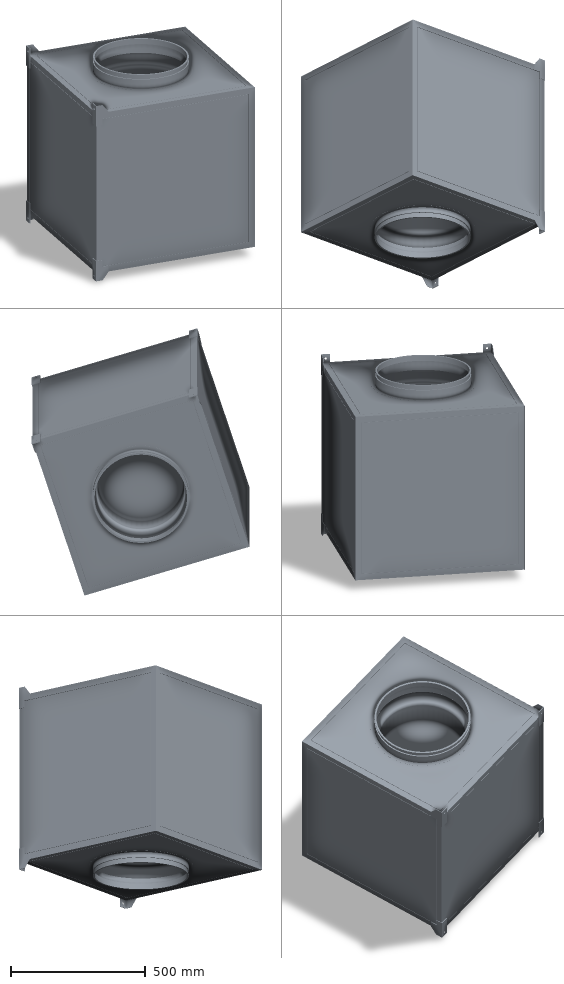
import cadquery as cq
import math

cabinet_side = 640.0
half_side = cabinet_side / 2
frame_width = 23.5
opening_side = cabinet_side - 2 * frame_width
panel_gap = 1.5
panel_side = opening_side - 2 * panel_gap
groove_depth = 2.0
side_sheet_thickness = 2.0
side_sheet_lip = 0.4
core_width = cabinet_side - 2 * side_sheet_thickness
core_side = cabinet_side - 2 * side_sheet_lip

overall_height = 735.0
overall_width = 643.0
overall_depth = 643.0
top_spigot_height = 55.0
bottom_spigot_height = overall_height - cabinet_side - top_spigot_height

rim_radius = 178.0
rim_thickness = 3.0
neck_radius = 173.5
neck_height = 19.0
wall = 2.0
neck_bore_radius = neck_radius - wall
collar_bore_radius = rim_radius - wall
flange_thickness = 3.0

well_radius = 192.5
well_depth = 51.5
throat_radius = 161.0
throat_depth = 153.0
well_fillet = 10.0

bracket_plate_width = 32.0
bracket_height = 81.0
bracket_overhang = 31.0
bracket_leg_depth = 51.5
bracket_leg_top_depth = 27.0
bracket_side_thickness = (overall_width - cabinet_side) / 2
bracket_front_thickness = overall_depth - cabinet_side
bracket_hole_diameter = 9.0
bracket_hole_inset = 17.0


def cabinet_body():
    """Core block between two X side sheets whose edges stand slightly proud of it."""
    core = cq.Workplane("XY").box(core_width, core_side, core_side)
    for side in (-1, 1):
        sheet = cq.Workplane("XY").box(side_sheet_thickness, cabinet_side, cabinet_side)
        sheet_x = side * (cabinet_side - side_sheet_thickness) / 2
        core = core.union(sheet.translate((sheet_x, 0, 0)))
    return core


def panel_groove(plane):
    """Narrow square groove that separates a panel from its frame."""
    return (
        cq.Workplane(plane)
        .workplane(offset=half_side - groove_depth)
        .rect(opening_side, opening_side)
        .rect(panel_side, panel_side)
        .extrude(groove_depth)
    )


def well_cut():
    """Stepped round well going down from the top face, with rounded steps."""
    step_z = half_side - well_depth
    floor_z = half_side - throat_depth
    mouth_radius = throat_radius + well_fillet
    arc_end = well_fillet * (1 - math.sqrt(0.5))
    return (
        cq.Workplane("XZ")
        .moveTo(0, half_side)
        .lineTo(well_radius, half_side)
        .lineTo(well_radius, step_z + well_fillet)
        .threePointArc(
            (well_radius - arc_end, step_z + arc_end),
            (well_radius - well_fillet, step_z),
        )
        .lineTo(mouth_radius, step_z)
        .threePointArc(
            (throat_radius + arc_end, step_z - arc_end),
            (throat_radius, step_z - well_fillet),
        )
        .lineTo(throat_radius, floor_z + well_fillet)
        .threePointArc(
            (throat_radius - arc_end, floor_z + arc_end),
            (throat_radius - well_fillet, floor_z),
        )
        .lineTo(0, floor_z)
        .close()
        .revolve(360, (0, 0, 0), (0, 1, 0))
    )


def spigot(height):
    """Beaded tube on a flange that closes the rim of the top well."""
    flange_bottom = half_side - flange_thickness
    rim_top = half_side + height
    collar_top = rim_top - neck_height
    shoulder_bottom = collar_top - wall
    rim_bottom = rim_top - rim_thickness
    profile = [
        (collar_bore_radius, flange_bottom),
        (well_radius, flange_bottom),
        (well_radius, half_side),
        (rim_radius, half_side),
        (rim_radius, collar_top),
        (neck_radius, collar_top),
        (neck_radius, rim_bottom),
        (rim_radius, rim_bottom),
        (rim_radius, rim_top),
        (neck_bore_radius, rim_top),
        (neck_bore_radius, shoulder_bottom),
        (collar_bore_radius, shoulder_bottom),
    ]
    return cq.Workplane("XZ").polyline(profile).close().revolve(360, (0, 0, 0), (0, 1, 0))


def bracket():
    """Angle bracket at the top of the -X, -Y edge: a drilled front plate and an L-shaped side leg."""
    top_z = half_side + bracket_overhang
    bottom_z = top_z - bracket_height
    outer_x = -overall_width / 2
    outer_y = -half_side - bracket_front_thickness
    plate = (
        cq.Workplane("XY")
        .box(bracket_plate_width, bracket_front_thickness, bracket_height, centered=False)
        .translate((outer_x, outer_y, bottom_z))
    )
    hole = (
        cq.Workplane("XZ", origin=(outer_x + bracket_hole_inset, -half_side, top_z - bracket_hole_inset))
        .circle(bracket_hole_diameter / 2)
        .extrude(bracket_front_thickness)
    )
    leg_back_y = outer_y + bracket_leg_depth
    frame_y = -half_side + frame_width
    frame_z = half_side - frame_width
    leg_outline = [
        (outer_y, bottom_z),
        (frame_y, bottom_z),
        (frame_y, frame_z),
        (leg_back_y, frame_z),
        (leg_back_y, half_side),
        (outer_y + bracket_leg_top_depth, top_z),
        (outer_y, top_z),
    ]
    leg = (
        cq.Workplane("YZ", origin=(outer_x, 0, 0))
        .polyline(leg_outline)
        .close()
        .extrude(bracket_side_thickness)
    )
    return plate.cut(hole).union(leg)


cabinet = cabinet_body()
for face_plane in ("XY", "YX", "XZ", "ZX", "YZ", "ZY"):
    cabinet = cabinet.cut(panel_groove(face_plane))

cabinet = cabinet.cut(well_cut()).cut(well_cut().mirror("XY"))
cabinet = cabinet.union(spigot(top_spigot_height))
cabinet = cabinet.union(spigot(bottom_spigot_height).mirror("XY"))

top_left_bracket = bracket()
top_brackets = top_left_bracket.union(top_left_bracket.mirror("YZ"))
result = cabinet.union(top_brackets).union(top_brackets.mirror("XY"))